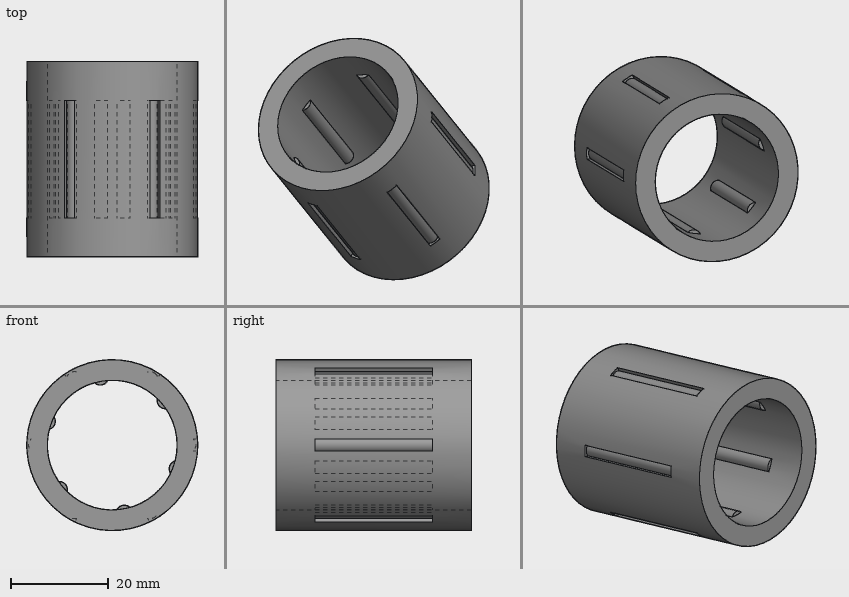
import cadquery as cq

sleeve_length = 40
outer_diameter = 35.0
bore_diameter = 26.5

roller_count = 6
roller_radius = 1.7
roller_length = 24
outer_roller_recess = 0.4
inner_roller_rise = 0.75
outer_start_angle = 0
inner_start_angle = 40

window_width = 2.4
cutter_overrun = 0.4

outer_radius = outer_diameter / 2
bore_radius = bore_diameter / 2
outer_roller_center = outer_radius - outer_roller_recess - roller_radius
inner_roller_center = bore_radius - inner_roller_rise + roller_radius


def cylinder_along_y(radius, length):
    """Cylinder centred on the origin, with its axis along Y."""
    return cq.Workplane("XZ").circle(radius).extrude(length / 2, both=True)


def roller(center_radius):
    """Roller lying parallel to the sleeve axis on the +X side."""
    return cylinder_along_y(roller_radius, roller_length).translate((center_radius, 0, 0))


def window_cutter():
    """Straight-sided slot whose floor is the crown of an outer roller."""
    depth_span = outer_radius - outer_roller_center + cutter_overrun
    block = cq.Workplane("XY").box(
        depth_span, roller_length, window_width, centered=(False, True, True)
    )
    block = block.translate((outer_roller_center, 0, 0))
    return block.cut(roller(outer_roller_center))


def around_axis(body, start_angle):
    """Copies of a body spaced evenly about the Y axis."""
    step = 360 / roller_count
    return [
        body.rotate((0, 0, 0), (0, -1, 0), start_angle + index * step)
        for index in range(roller_count)
    ]


result = cylinder_along_y(outer_radius, sleeve_length)
result = result.cut(cylinder_along_y(bore_radius, sleeve_length))

for cutter in around_axis(window_cutter(), outer_start_angle):
    result = result.cut(cutter)

for inner_roller in around_axis(roller(inner_roller_center), inner_start_angle):
    result = result.union(inner_roller)